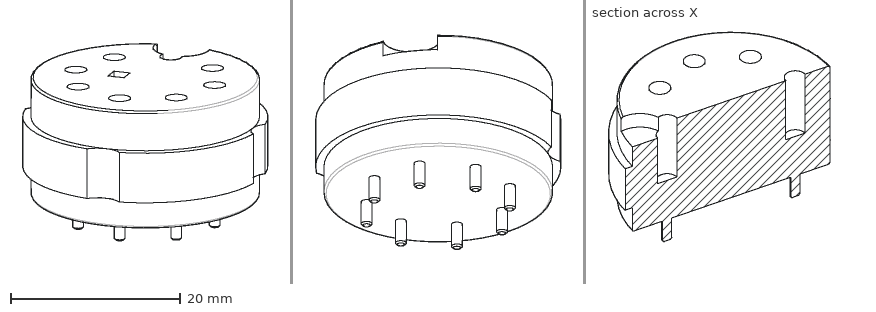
import cadquery as cq

body_diameter = 27.0
body_height = 14.45
body_edge_fillet = 0.25

flange_diameter = 28.95
flange_bottom = 3.48
flange_height = 6.13

groove_radius = 2.88
groove_angles = (0, 180, 270)

contact_count = 8
contact_circle_radius = 8.73
socket_diameter = 2.6
socket_depth = 8.65
pin_diameter = 1.3
pin_length = 3.05
pin_tip_chamfer = 0.2

key_radius = 3.37
key_center_y = 12.4
key_depth = 2.0

square_side = 2.0
square_center_x = -3.3
square_depth = 2.88


def contact_positions(plane):
    return plane.polarArray(contact_circle_radius, 0, 360, contact_count)


def make_body():
    """Round insulator with softened top and bottom rims."""
    return (
        cq.Workplane("XY")
        .circle(body_diameter / 2)
        .extrude(body_height)
        .edges("%CIRCLE")
        .fillet(body_edge_fillet)
    )


def make_flange():
    """Wide band whose scalloped grooves just reach the body wall."""
    band = (
        cq.Workplane("XY", origin=(0, 0, flange_bottom))
        .circle(flange_diameter / 2)
        .extrude(flange_height)
    )
    groove_center_radius = body_diameter / 2 + groove_radius
    for angle in groove_angles:
        groove = (
            cq.Workplane("XY", origin=(0, 0, flange_bottom))
            .center(groove_center_radius, 0)
            .circle(groove_radius)
            .extrude(flange_height)
            .rotate((0, 0, 0), (0, 0, 1), angle)
        )
        band = band.cut(groove)
    return band


def make_pins():
    """Solder pins with chamfered tips, hanging below the body."""
    return (
        contact_positions(cq.Workplane("XY"))
        .circle(pin_diameter / 2)
        .extrude(-pin_length)
        .faces("<Z")
        .chamfer(pin_tip_chamfer)
    )


def make_sockets():
    """Blind contact holes in the top face."""
    top = cq.Workplane("XY", origin=(0, 0, body_height))
    return contact_positions(top).circle(socket_diameter / 2).extrude(-socket_depth)


def make_keyway():
    """Round pocket that breaks through the rim on the +Y side."""
    return (
        cq.Workplane("XY", origin=(0, key_center_y, body_height))
        .circle(key_radius)
        .extrude(-key_depth)
    )


def make_square_pocket():
    """Small blind square pocket in the top face."""
    return (
        cq.Workplane("XY", origin=(square_center_x, 0, body_height))
        .rect(square_side, square_side)
        .extrude(-square_depth)
    )


result = (
    make_body()
    .union(make_flange())
    .union(make_pins())
    .cut(make_sockets())
    .cut(make_keyway())
    .cut(make_square_pocket())
)